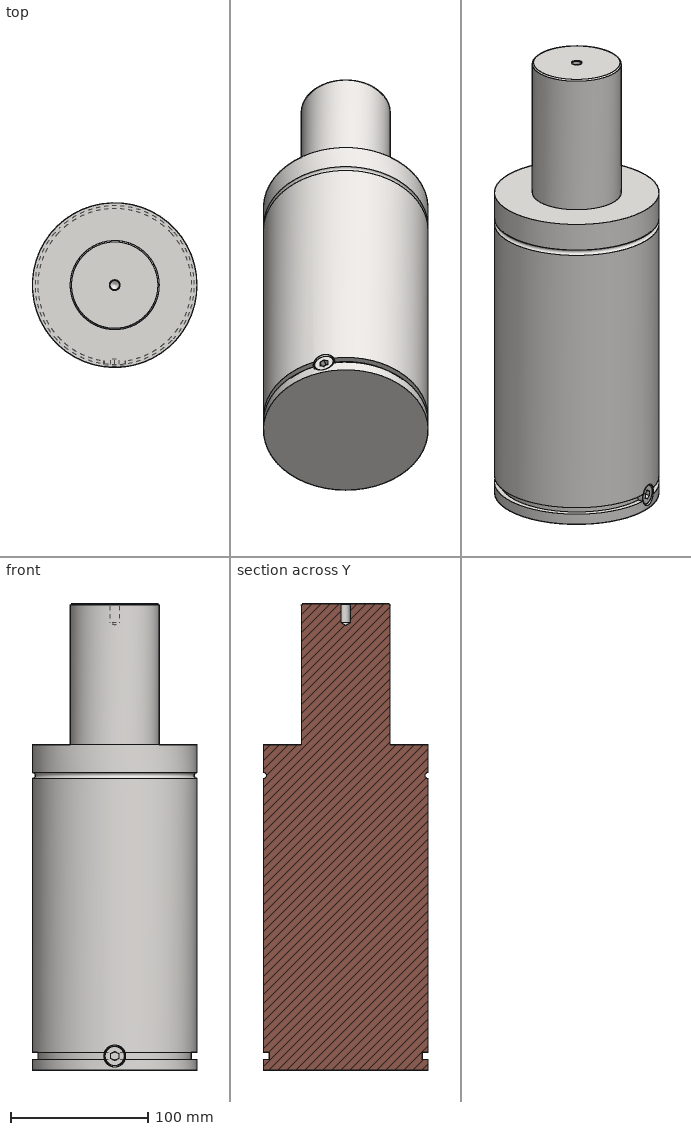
import cadquery as cq
import math

total_height = 340.0
body_diameter = 120.0
body_radius = body_diameter / 2
body_height = 237.3
rod_diameter = 65.0
rod_chamfer = 1.0

base_groove_bottom = 8.0
base_groove_height = 5.0
base_groove_depth = 4.0
cap_groove_height = 215.0
cap_groove_radius = 2.0

rod_hole_diameter = 6.8
rod_hole_mouth_diameter = 7.8
rod_hole_depth = 13.5
drill_tip_angle = 118.0

port_height = 10.5
port_diameter = 16.0
plug_recess_diameter = 14.0
plug_recess_depth = 1.0
plug_length = 10.2
socket_corner_diameter = 6.8
socket_depth = 5.0


def base_groove():
    """Square-edged ring to remove near the foot of the body."""
    return (
        cq.Workplane("XY", origin=(0, 0, base_groove_bottom))
        .circle(body_radius)
        .circle(body_radius - base_groove_depth)
        .extrude(base_groove_height)
    )


def cap_groove():
    """Round-bottomed ring to remove below the end cap."""
    return (
        cq.Workplane("XZ")
        .center(body_radius, cap_groove_height)
        .circle(cap_groove_radius)
        .revolve(360, (-body_radius, 0, 0), (-body_radius, 1, 0))
    )


def rod_hole():
    """Drilled hole with a chamfered mouth and a conical tip."""
    radius = rod_hole_diameter / 2
    mouth_radius = rod_hole_mouth_diameter / 2
    mouth_depth = mouth_radius - radius
    tip_depth = radius / math.tan(math.radians(drill_tip_angle / 2))
    floor = total_height - rod_hole_depth
    return (
        cq.Workplane("XZ")
        .moveTo(0, total_height)
        .lineTo(mouth_radius, total_height)
        .lineTo(radius, total_height - mouth_depth)
        .lineTo(radius, floor)
        .lineTo(0, floor - tip_depth)
        .close()
        .revolve(360, (0, 0, 0), (0, 1, 0))
    )


def port_plane(distance):
    """Plane facing -Y, centred on the port at a distance from the body axis."""
    return cq.Workplane("XZ", origin=(0, -distance, port_height))


def port_plug():
    """Plug trimmed to the body wall, dished inside a conical rim, with a hexagonal socket."""
    plug = port_plane(body_radius - plug_length).circle(port_diameter / 2).extrude(plug_length)
    face_distance = body_radius - plug_recess_depth
    recess = (
        port_plane(face_distance)
        .circle(plug_recess_diameter / 2)
        .workplane(offset=plug_recess_depth)
        .circle(port_diameter / 2)
        .loft()
    )
    socket = (
        port_plane(face_distance - socket_depth)
        .transformed(rotate=(0, 0, 90))
        .polygon(6, socket_corner_diameter)
        .extrude(socket_depth)
    )
    envelope = cq.Workplane("XY").circle(body_radius).extrude(body_height)
    return plug.intersect(envelope).cut(recess).cut(socket)


body = cq.Workplane("XY").circle(body_radius).extrude(body_height)
body = body.cut(base_groove())
body = body.cut(cap_groove())

port_bore = port_plane(body_radius - plug_length).circle(port_diameter / 2).extrude(plug_length)
body = body.cut(port_bore).union(port_plug())

rod = (
    cq.Workplane("XY")
    .circle(rod_diameter / 2)
    .extrude(total_height)
    .faces(">Z")
    .chamfer(rod_chamfer)
)

result = body.union(rod).cut(rod_hole())